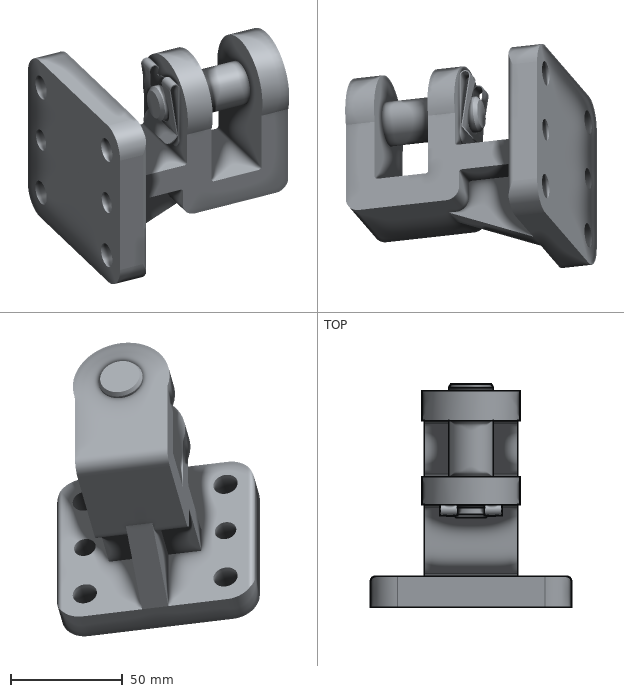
import cadquery as cq
import math

PLATE_WIDTH = 90.0
PLATE_HEIGHT = 80.0
PLATE_THICKNESS = 14.0
PLATE_CORNER_RADIUS = 12.0
PLATE_SIDE_FILLET = 2.5
MOUNT_HOLE_DIAMETER = 11.0
MIDDLE_HOLE_DIAMETER = 9.8
HOLE_OFFSET_X = 32.0
HOLE_OFFSET_Z = 27.0

FORK_WIDTH = 42.0
FORK_BACK = 97.0
REAR_LUG_FRONT = 83.5
FRONT_LUG_BACK = 58.5
FRONT_LUG_FRONT = 46.0
FORK_BASE_FRONT = 44.0
FORK_BOTTOM = 16.0
SLOT_FLOOR = 30.0
ARM_TOP = 42.0
ARM_BOTTOM = SLOT_FLOOR
FORK_CORNER_RADIUS = 6.0
INNER_FILLET = 1.2
LUG_DIAMETER = 44.0

RIB_WIDTH = 12.0
RIB_TIP_Y = 53.5

PIN_AXIS_Z = 64.0
PIN_DIAMETER = 20.0
PIN_BACK = 100.0
PIN_BACK_CHAMFER_LENGTH = 1.7
PIN_BACK_FACE_DIAMETER = 18.0
GROOVE_DIAMETER = 12.0
GROOVE_FRONT = 44.5
HEAD_DIAMETER = 16.0
HEAD_CHAMFER = 1.6
PIN_FRONT = 40.0

STRIP_THICKNESS = 0.5
CLIP_WIDTH = 27.8
CLIP_BOTTOM = 46.3
CLIP_TOP = 80.2
CLIP_DEPTH = 5.0
LIP_FOLD_Y = 44.9
LIP_FOLD_Z = 53.7
LIP_END_Y = 40.9
LIP_END_Z = 48.7
CLIP_CORNER_RADIUS = 4.5
NOTCH_WIDTH = 12.0
COLLAR_DIAMETER = 24.0
COLLAR_CORNER_RADIUS = 0.5
HEAD_CLEARANCE_DIAMETER = 18.0
LEG_SLOT_TOP = 78.0
LEG_SLOT_BOTTOM = 67.0


def cylinder_along_y(diameter, y_start, y_end, x=0.0, z=PIN_AXIS_Z):
    """Cylinder parallel to Y between two Y positions."""
    axis_start = cq.Vector(x, y_start, z)
    solid = cq.Solid.makeCylinder(diameter / 2, y_end - y_start, axis_start, cq.Vector(0, 1, 0))
    return cq.Workplane(solid)


def block(width, y_start, y_end, z_start, z_end):
    """Box centred on X = 0."""
    return cq.Workplane().box(width, y_end - y_start, z_end - z_start).translate(
        (0, (y_start + y_end) / 2, (z_start + z_end) / 2)
    )


def make_plate():
    half_height = PLATE_HEIGHT / 2
    plate = block(PLATE_WIDTH, 0, PLATE_THICKNESS, 0, PLATE_HEIGHT)
    plate = plate.faces(">Y").edges("|Z").fillet(PLATE_SIDE_FILLET)
    rounded = block(PLATE_WIDTH, 0, PLATE_THICKNESS, 0, PLATE_HEIGHT)
    rounded = rounded.edges("|Y").fillet(PLATE_CORNER_RADIUS)
    plate = plate.intersect(rounded)
    rows = [
        (-HOLE_OFFSET_Z, MOUNT_HOLE_DIAMETER),
        (0, MIDDLE_HOLE_DIAMETER),
        (HOLE_OFFSET_Z, MOUNT_HOLE_DIAMETER),
    ]
    for x in (-HOLE_OFFSET_X, HOLE_OFFSET_X):
        for row_offset, diameter in rows:
            hole = cylinder_along_y(diameter, 0, PLATE_THICKNESS, x, half_height + row_offset)
            plate = plate.cut(hole)
    return plate


def make_fork():
    """Side outline of fork and arm, extruded across X, with the round lug ends added."""
    outline = [
        (PLATE_THICKNESS, ARM_BOTTOM),
        (PLATE_THICKNESS, ARM_TOP),
        (FRONT_LUG_FRONT, ARM_TOP),
        (FRONT_LUG_FRONT, PIN_AXIS_Z),
        (FRONT_LUG_BACK, PIN_AXIS_Z),
        (FRONT_LUG_BACK, SLOT_FLOOR),
        (REAR_LUG_FRONT, SLOT_FLOOR),
        (REAR_LUG_FRONT, PIN_AXIS_Z),
        (FORK_BACK, PIN_AXIS_Z),
        (FORK_BACK, FORK_BOTTOM),
        (FORK_BASE_FRONT, FORK_BOTTOM),
        (FORK_BASE_FRONT, ARM_BOTTOM),
    ]
    fork = cq.Workplane("YZ").polyline(outline).close().extrude(FORK_WIDTH / 2, both=True)
    fork = fork.faces("<Z").edges("|X").fillet(FORK_CORNER_RADIUS)
    inner_corners = [
        (FRONT_LUG_FRONT, ARM_TOP),
        (FRONT_LUG_BACK, SLOT_FLOOR),
        (REAR_LUG_FRONT, SLOT_FLOOR),
        (FORK_BASE_FRONT, ARM_BOTTOM),
    ]
    for y, z in inner_corners:
        corner = cq.selectors.NearestToPointSelector((0, y, z))
        fork = fork.edges("|X").edges(corner).fillet(INNER_FILLET)
    for y_start, y_end in ((FRONT_LUG_FRONT, FRONT_LUG_BACK), (REAR_LUG_FRONT, FORK_BACK)):
        fork = fork.union(cylinder_along_y(LUG_DIAMETER, y_start, y_end))
    return fork


def make_rib():
    outline = [
        (PLATE_THICKNESS, 0),
        (RIB_TIP_Y, FORK_BOTTOM),
        (RIB_TIP_Y, ARM_BOTTOM),
        (PLATE_THICKNESS, ARM_BOTTOM),
    ]
    return cq.Workplane("YZ").polyline(outline).close().extrude(RIB_WIDTH / 2, both=True)


def make_bracket():
    bracket = make_plate().union(make_fork()).union(make_rib())
    arm_root = cq.selectors.NearestToPointSelector((0, PLATE_THICKNESS, ARM_TOP))
    bracket = bracket.edges("|X").edges(arm_root).fillet(INNER_FILLET)
    return bracket.cut(cylinder_along_y(PIN_DIAMETER, FRONT_LUG_FRONT, FORK_BACK))


def make_pin():
    """Turned profile as (radius, Y), revolved about the pin axis."""
    profile = [
        (0, PIN_FRONT),
        (HEAD_DIAMETER / 2 - HEAD_CHAMFER, PIN_FRONT),
        (HEAD_DIAMETER / 2, PIN_FRONT + HEAD_CHAMFER),
        (HEAD_DIAMETER / 2, GROOVE_FRONT),
        (GROOVE_DIAMETER / 2, GROOVE_FRONT),
        (GROOVE_DIAMETER / 2, FRONT_LUG_FRONT),
        (PIN_DIAMETER / 2, FRONT_LUG_FRONT),
        (PIN_DIAMETER / 2, PIN_BACK - PIN_BACK_CHAMFER_LENGTH),
        (PIN_BACK_FACE_DIAMETER / 2, PIN_BACK),
        (0, PIN_BACK),
    ]
    pin = cq.Workplane("XY").polyline(profile).close().revolve(360, (0, 0, 0), (0, 1, 0))
    return pin.translate((0, 0, PIN_AXIS_Z))


def make_bent_strip():
    """Full-width strip swept along its middle line, from the back leg over the top to the lip."""
    back_y = FRONT_LUG_FRONT - STRIP_THICKNESS / 2
    bend_radius = (CLIP_DEPTH - STRIP_THICKNESS) / 2
    bend_y = FRONT_LUG_FRONT - CLIP_DEPTH / 2
    bend_z = CLIP_TOP - CLIP_DEPTH / 2
    fold_distance = math.hypot(LIP_FOLD_Y - bend_y, LIP_FOLD_Z - bend_z)
    fold_angle = math.atan2(LIP_FOLD_Z - bend_z, LIP_FOLD_Y - bend_y)
    bend_end_angle = fold_angle - math.acos(bend_radius / fold_distance)
    bend_end = (
        bend_y + bend_radius * math.cos(bend_end_angle),
        bend_z + bend_radius * math.sin(bend_end_angle),
    )
    path = (
        cq.Workplane("YZ")
        .moveTo(back_y, CLIP_BOTTOM)
        .lineTo(back_y, bend_z)
        .threePointArc((bend_y, bend_z + bend_radius), bend_end)
        .lineTo(LIP_FOLD_Y, LIP_FOLD_Z)
        .lineTo(LIP_END_Y, LIP_END_Z)
    )
    section = cq.Workplane("XY").workplane(offset=CLIP_BOTTOM).center(0, back_y)
    return section.rect(CLIP_WIDTH, STRIP_THICKNESS).sweep(path, transition="right")


def make_leg_slot():
    """Slot through both legs that widens downward from the notch to the head clearance."""
    bottom_half = math.sqrt(
        (HEAD_CLEARANCE_DIAMETER / 2) ** 2 - (LEG_SLOT_BOTTOM - PIN_AXIS_Z) ** 2
    )
    outline = [
        (-bottom_half, LEG_SLOT_BOTTOM),
        (bottom_half, LEG_SLOT_BOTTOM),
        (NOTCH_WIDTH / 2, LEG_SLOT_TOP),
        (-NOTCH_WIDTH / 2, LEG_SLOT_TOP),
    ]
    slot = cq.Workplane("XZ", origin=(0, FRONT_LUG_FRONT, 0)).polyline(outline).close()
    return slot.extrude(FRONT_LUG_FRONT - PIN_FRONT)


def make_clip():
    clip = make_bent_strip()
    end_edges = cq.selectors.BoxSelector(
        (-CLIP_WIDTH, 0, 0), (CLIP_WIDTH, FRONT_LUG_FRONT, LIP_END_Z + STRIP_THICKNESS)
    )
    clip = clip.edges("not |X").edges(end_edges).fillet(CLIP_CORNER_RADIUS)
    clip = clip.cut(block(NOTCH_WIDTH, PIN_FRONT, FRONT_LUG_FRONT, LEG_SLOT_TOP, CLIP_TOP))
    leg_back = FRONT_LUG_FRONT - STRIP_THICKNESS
    collar = cylinder_along_y(COLLAR_DIAMETER, leg_back, FRONT_LUG_FRONT)
    slot = make_leg_slot().cut(collar)
    collar_corners = cq.selectors.BoxSelector(
        (-CLIP_WIDTH, leg_back, LEG_SLOT_BOTTOM),
        (CLIP_WIDTH, FRONT_LUG_FRONT, PIN_AXIS_Z + COLLAR_DIAMETER / 2),
    )
    slot = slot.edges("|Y").edges(collar_corners).fillet(COLLAR_CORNER_RADIUS)
    clip = clip.cut(slot)
    clip = clip.cut(cylinder_along_y(HEAD_CLEARANCE_DIAMETER, PIN_FRONT, leg_back))
    return clip.cut(cylinder_along_y(GROOVE_DIAMETER, leg_back, FRONT_LUG_FRONT))


bracket = make_bracket()
pin = make_pin()
clip = make_clip()

result = cq.Compound.makeCompound([bracket.val(), pin.val(), clip.val()])